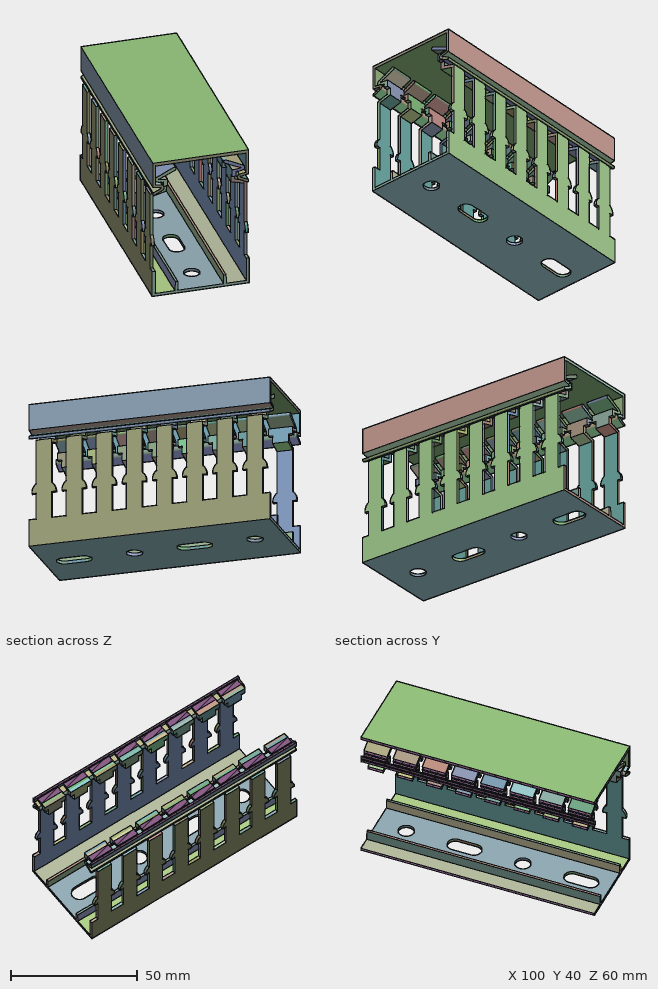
import cadquery as cq
import math

length = 100.0
width = 40.0
height = 60.0
half_width = width / 2

wall = 1.25
wall_inner_y = half_width - wall
shoulder_z = 44.5
shoulder_inner_z = 43.5
neck_outer_y = 14.95
neck_inner_y = 13.25
neck_outer_bottom_z = 45.95
neck_inner_bottom_z = 44.95
neck_outer_top_z = 50.0
neck_inner_top_z = 51.25

hook_outer_y = 18.45
hook_bend_start = (17.95, 50.6)
hook_bend_middle = (hook_outer_y, 51.6)
hook_bend_end = (17.8, 52.7)
hook_crotch = (17.0, 51.65)
arm_angle = math.radians(26.0)
arm_thickness = 1.5
arm_length = 7.7

rib_inner_y = 9.4
rib_base_thickness = 1.3
rib_tip_thickness = 1.0
rib_top_z = 5.15

hole_pitch = 25.0
hole_count = 4
hole_diameter = 6.5
slot_length = 14.5

finger_count = 8
finger_pitch = length / finger_count
finger_width = 6.5
head_gap = 2.5
gap_half_width = (finger_pitch - finger_width) / 2
head_gap_half_width = head_gap / 2
gap_bottom_z = 11.2
head_bottom_z = 48.2

barb_depth = gap_half_width - head_gap_half_width
barb_bottom_z = 22.05
barb_top_z = 26.05
barb_middle_depth = 1.25
barb_middle_z = 24.5

cover_top = 1.4
cover_wall = 1.1
cover_setback = 0.25
cover_outer_y = half_width - cover_setback
cover_inner_y = cover_outer_y - cover_wall
cover_wall_bottom_z = 49.15

lip_root_z = 50.0
lip_bend_start = (15.9, 49.6)
lip_bend_middle = (15.1, 48.6)
lip_bend_end = (15.6, 47.3)
lip_crotch_start = (16.5, 48.5)
lip_crotch_middle = (16.3, 48.3)
lip_crotch_end = (16.5, 48.1)
lip_tip_start = (cover_outer_y - 0.15, 46.6)
lip_tip_middle = (cover_outer_y, 46.05)
lip_tip_end = (cover_outer_y - 0.6, 45.55)


def both_sides(half):
    """Complete a body from its +Y half."""
    return half.union(half.mirror("XZ"))


def duct_section():
    """Plain channel: floor with a side wall, neck and snap hook on each side."""
    along = (-math.cos(arm_angle), math.sin(arm_angle))
    across = (-math.sin(arm_angle), -math.cos(arm_angle))

    def arm_point(distance, depth):
        y = hook_bend_end[0] + along[0] * distance + across[0] * depth
        z = hook_bend_end[1] + along[1] * distance + across[1] * depth
        return (y, z)

    half = (
        cq.Workplane("YZ")
        .moveTo(0, 0)
        .lineTo(half_width, 0)
        .lineTo(half_width, shoulder_z)
        .lineTo(neck_outer_y, neck_outer_bottom_z)
        .lineTo(neck_outer_y, neck_outer_top_z)
        .lineTo(*hook_bend_start)
        .threePointArc(hook_bend_middle, hook_bend_end)
        .lineTo(*arm_point(arm_length, 0))
        .threePointArc(
            arm_point(arm_length + arm_thickness / 2, arm_thickness / 2),
            arm_point(arm_length, arm_thickness),
        )
        .lineTo(*hook_crotch)
        .lineTo(neck_inner_y + wall, neck_inner_top_z)
        .lineTo(neck_inner_y, neck_inner_top_z)
        .lineTo(neck_inner_y, neck_inner_bottom_z)
        .lineTo(wall_inner_y, shoulder_inner_z)
        .lineTo(wall_inner_y, wall)
        .lineTo(0, wall)
        .close()
        .extrude(length)
    )
    return both_sides(half)


def floor_ribs():
    """Pair of low ribs running the length of the floor."""
    rib = (
        cq.Workplane("YZ")
        .moveTo(rib_inner_y, 0)
        .lineTo(rib_inner_y + rib_base_thickness, 0)
        .lineTo(rib_inner_y + rib_base_thickness, wall)
        .lineTo(rib_inner_y + rib_tip_thickness, rib_top_z)
        .lineTo(rib_inner_y, rib_top_z)
        .close()
        .extrude(length)
    )
    return both_sides(rib)


def finger_gap(center_x):
    """Cutter for one gap through both side walls, narrow between the heads and at the barbs."""
    left = center_x - gap_half_width
    right = center_x + gap_half_width
    return (
        cq.Workplane("XZ", origin=(0, half_width, 0))
        .moveTo(left, gap_bottom_z)
        .lineTo(right, gap_bottom_z)
        .lineTo(right, barb_bottom_z)
        .lineTo(right - barb_depth, barb_bottom_z)
        .threePointArc((right - barb_middle_depth, barb_middle_z), (right, barb_top_z))
        .lineTo(right, head_bottom_z)
        .lineTo(center_x + head_gap_half_width, head_bottom_z)
        .lineTo(center_x + head_gap_half_width, height)
        .lineTo(center_x - head_gap_half_width, height)
        .lineTo(center_x - head_gap_half_width, head_bottom_z)
        .lineTo(left, head_bottom_z)
        .lineTo(left, barb_top_z)
        .threePointArc((left + barb_middle_depth, barb_middle_z), (left + barb_depth, barb_bottom_z))
        .lineTo(left, barb_bottom_z)
        .close()
        .extrude(width)
    )


def floor_hole(index):
    """Cutter for one floor hole: even positions are slots, odd are round."""
    center = cq.Workplane("XY").center((index + 0.5) * hole_pitch, 0)
    if index % 2 == 0:
        return center.slot2D(slot_length, hole_diameter).extrude(wall)
    return center.circle(hole_diameter / 2).extrude(wall)


def make_duct():
    duct = duct_section().union(floor_ribs())
    for index in range(finger_count + 1):
        duct = duct.cut(finger_gap(index * finger_pitch))
    for index in range(hole_count):
        duct = duct.cut(floor_hole(index))
    return duct


def make_cover():
    half = (
        cq.Workplane("YZ")
        .moveTo(0, height)
        .lineTo(cover_outer_y, height)
        .lineTo(cover_outer_y, cover_wall_bottom_z)
        .lineTo(*lip_crotch_start)
        .threePointArc(lip_crotch_middle, lip_crotch_end)
        .lineTo(*lip_tip_start)
        .threePointArc(lip_tip_middle, lip_tip_end)
        .lineTo(*lip_bend_end)
        .threePointArc(lip_bend_middle, lip_bend_start)
        .lineTo(cover_inner_y, lip_root_z)
        .lineTo(cover_inner_y, height - cover_top)
        .lineTo(0, height - cover_top)
        .close()
        .extrude(length)
    )
    return both_sides(half)


duct = make_duct()
cover = make_cover()

result = cq.Compound.makeCompound([duct.val(), cover.val()])